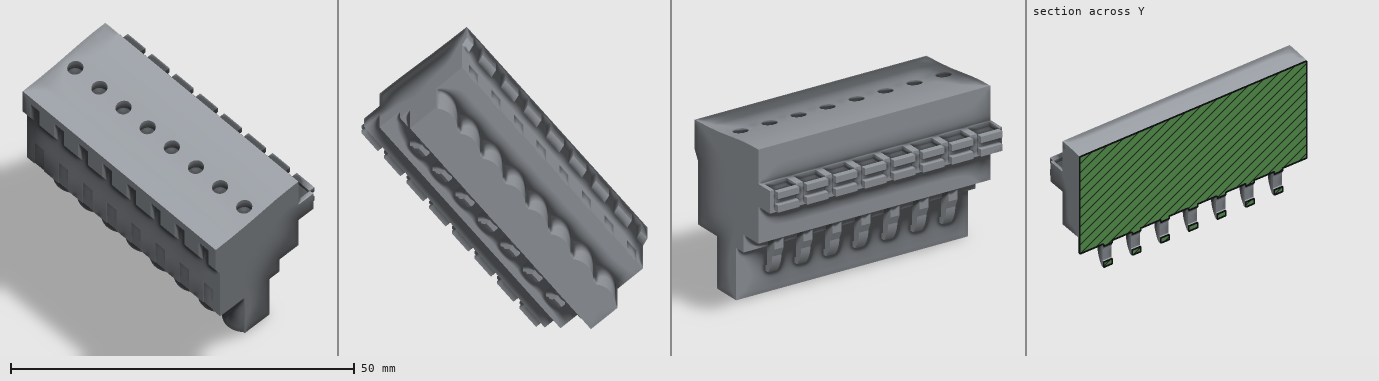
import cadquery as cq

poles = 8
length = 40.65
pitch = length / poles
pole_positions = [pitch * (i - (poles - 1) / 2) for i in range(poles)]

top_z = 26.25
front_top_z = 24.8
block_back_y = 16.65
block_bottom_z = 11.2
foot_back_y = 12.8
foot_bottom_z = 8.37

top_seam_y = 9.85
top_seam_z = 25.7
top_crown_y = 13.2
top_crown_z = 26.1

lip_depth = 0.9
lip_bottom_z = 20.05
lip_root_z = 18.45

ledge_back_y = 19.65
ledge_bottom_z = 17.15
ledge_top_z = 20.75

plug_front_y = 5.8
plug_back_y = 10.85
bulge_front_y = 4.9
bulge_width = 4.45

slot_width = 2.07
upper_slot_top_z = 23.3
lower_slot_top_z = 13.3
lower_slot_depth = 0.12
test_hole_diameter = 2.35
test_hole_y = 8.15
test_hole_floor_z = 23.9

hook_width = 1.63
hook_positions = [x + pitch / 2 for x in pole_positions[:-1]]
hook_back_y = 14.45
hook_front_y = 12.6
hook_nose_y = 12.15
hook_tip_y = 12.8
hook_tip_z = 4.15
hook_nose_top_z = 5.05
hook_neck_bottom_z = 5.3
hook_neck_top_z = 7.4
hook_bend_y = 13.9
hook_bend_z = 7.05
hook_bow_y = 13.55
hook_bow_z = 5.35

lever_width = 3.7
lever_side_gap = 0.1
lever_offset_x = -0.12
lever_front_y = 17.1
lever_back_y = 20.65
lever_bottom_z = 17.48
lever_deck_z = 20.05
lever_top_z = 20.65
lever_slot_bottom_z = 18.57
lever_slot_top_z = 19.63
lever_positions = [x + lever_offset_x for x in pole_positions]


def box(center_x, width, y_range, z_range):
    """Box centred on center_x in X, between two Y values and two Z values."""
    y_low, y_high = y_range
    z_low, z_high = z_range
    return (
        cq.Workplane("XY", origin=(center_x, y_low, z_low))
        .box(width, y_high - y_low, z_high - z_low, centered=(True, False, False))
    )


def make_block():
    """Main block with its curved top, front lip, back ledge and plug skirt, as one long profile."""
    return (
        cq.Workplane("YZ")
        .moveTo(block_back_y, top_z)
        .threePointArc((top_crown_y, top_crown_z), (top_seam_y, top_seam_z))
        .tangentArcPoint((0, front_top_z), relative=False)
        .lineTo(0, lip_bottom_z)
        .lineTo(lip_depth, lip_root_z)
        .lineTo(lip_depth, foot_bottom_z)
        .lineTo(plug_front_y, foot_bottom_z)
        .lineTo(plug_front_y, 0)
        .lineTo(plug_back_y, 0)
        .lineTo(plug_back_y, foot_bottom_z)
        .lineTo(foot_back_y, foot_bottom_z)
        .lineTo(foot_back_y, block_bottom_z)
        .lineTo(block_back_y, block_bottom_z)
        .lineTo(block_back_y, ledge_bottom_z)
        .lineTo(ledge_back_y, ledge_bottom_z)
        .lineTo(ledge_back_y, ledge_top_z)
        .lineTo(block_back_y, ledge_top_z)
        .close()
        .extrude(length / 2, both=True)
    )


def make_bulge(x):
    """Rounded front of the plug skirt at one pole."""
    return (
        cq.Workplane("XY")
        .moveTo(x - bulge_width / 2, plug_front_y)
        .threePointArc((x, bulge_front_y), (x + bulge_width / 2, plug_front_y))
        .close()
        .extrude(foot_bottom_z)
    )


def make_hook(x):
    """Latch hook that hangs behind the foot and curves in to a small nose."""
    return (
        cq.Workplane("YZ", origin=(x, 0, 0))
        .moveTo(foot_back_y, block_bottom_z)
        .lineTo(hook_back_y, block_bottom_z)
        .lineTo(hook_back_y, foot_bottom_z)
        .lineTo(hook_bend_y, hook_bend_z)
        .threePointArc((hook_bow_y, hook_bow_z), (hook_tip_y, hook_tip_z))
        .lineTo(hook_nose_y, hook_tip_z)
        .lineTo(hook_nose_y, hook_nose_top_z)
        .lineTo(hook_front_y, hook_neck_bottom_z)
        .lineTo(hook_front_y, hook_neck_top_z)
        .lineTo(hook_nose_y, foot_bottom_z)
        .lineTo(foot_back_y, foot_bottom_z)
        .close()
        .extrude(hook_width / 2, both=True)
    )


def make_wire_slots(x):
    """Upper slot through the lip and shallow lower slot in the front face at one pole."""
    upper_slot = box(x, slot_width, (0, lip_depth), (lip_root_z, upper_slot_top_z))
    lower_slot = box(
        x, slot_width, (lip_depth, lip_depth + lower_slot_depth), (foot_bottom_z, lower_slot_top_z)
    )
    return upper_slot.union(lower_slot)


def make_test_hole(x):
    """Flat-bottomed round hole down from the curved top at one pole."""
    return (
        cq.Workplane("XY", origin=(x, test_hole_y, test_hole_floor_z))
        .circle(test_hole_diameter / 2)
        .extrude(top_z - test_hole_floor_z)
    )


def make_lever_pocket(x):
    """Pocket for one lever, open at the top and back of the ledge."""
    return box(
        x, lever_width + 2 * lever_side_gap, (lever_front_y, ledge_back_y), (lever_bottom_z, ledge_top_z)
    )


def make_housing():
    """Connector housing in one piece."""
    housing = make_block()
    for x in pole_positions:
        housing = housing.union(make_bulge(x))
        housing = housing.cut(make_wire_slots(x)).cut(make_test_hole(x))
    for x in hook_positions:
        housing = housing.union(make_hook(x))
    for x in lever_positions:
        housing = housing.cut(make_lever_pocket(x))
    return housing


def make_lever(x):
    """Release lever: a body in the ledge pocket with two bars that stand out behind the ledge."""
    body = box(x, lever_width, (lever_front_y, ledge_back_y), (lever_bottom_z, lever_deck_z))
    lower_bar = box(x, lever_width, (ledge_back_y, lever_back_y), (lever_bottom_z, lever_slot_bottom_z))
    upper_bar = box(x, lever_width, (ledge_back_y, lever_back_y), (lever_slot_top_z, lever_top_z))
    return body.union(lower_bar).union(upper_bar)


housing = make_housing()
levers = [make_lever(x) for x in lever_positions]

result = cq.Compound.makeCompound([housing.val(), *[lever.val() for lever in levers]])